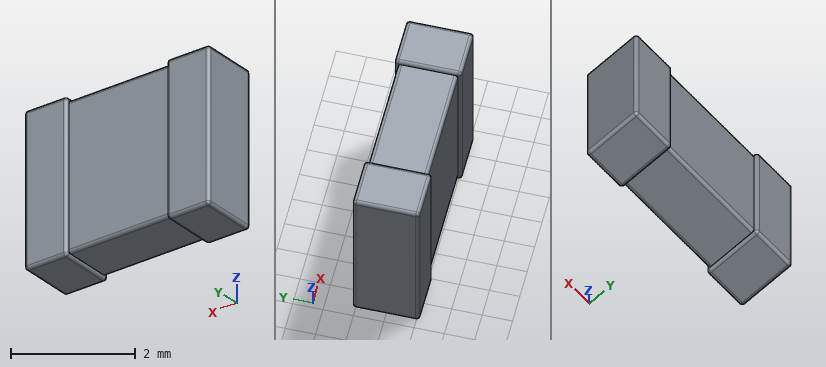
import cadquery as cq

length = 3.7
depth = 1.1
height = 2.9

terminal_length = 0.847
edge_radius = 0.06

step = 0.06
block_length = length - 2 * terminal_length
block_depth = depth - 2 * step
block_height = height - 2 * step


def make_block():
    """Block between the terminals, with its four long edges rounded."""
    return (
        cq.Workplane("XY")
        .box(block_length, block_depth, block_height)
        .edges("|X")
        .fillet(edge_radius)
    )


def make_terminal(side):
    """Terminal at one end (side is -1 or +1), with every edge rounded."""
    center_x = side * (length - terminal_length) / 2
    return (
        cq.Workplane("XY")
        .box(terminal_length, depth, height)
        .edges()
        .fillet(edge_radius)
        .translate((center_x, 0, 0))
    )


block = make_block()
terminals = [make_terminal(side) for side in (-1, 1)]

result = cq.Compound.makeCompound([block.val(), *[terminal.val() for terminal in terminals]])